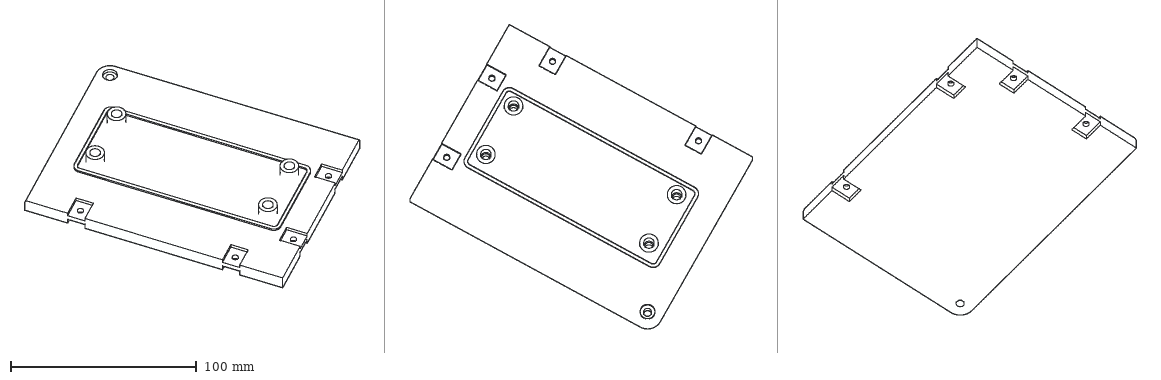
import cadquery as cq

PLATE_LENGTH = 150.0
PLATE_WIDTH = 110.0
PLATE_THICKNESS = 8.0
CORNER_RADIUS = 8.0
EDGE_ROUND = 2.0

SCREW_DIAMETER = 4.4
SCREW_HEAD_DIAMETER = 8.0
SCREW_HEAD_DEPTH = 2.0

TAB_WIDTH = 10.0
TAB_DEPTH = 12.0
TAB_TOP_RECESS = 2.0
TAB_BOTTOM_RECESS = 3.0
TAB_HOLE_DIAMETER = 3.3
FRONT_TAB_X = (30.0, 120.0)
SIDE_TAB_Y = (30.0, 80.0)

RIM_LENGTH = 120.0
RIM_WIDTH = 50.0
RIM_WALL = 2.0
RIM_HEIGHT = 1.0
RIM_RADIUS = 4.0

STANDOFF_DIAMETER = 10.0
STANDOFF_TOP = 16.0
STANDOFF_SPACING_X = 100.5
STANDOFF_SPACING_Y = 30.6
STANDOFF_FILLET = 1.0
INSERT_DIAMETER = 5.7
INSERT_DEPTH = STANDOFF_TOP - PLATE_THICKNESS
PILOT_DIAMETER = 4.4
PILOT_FLOOR = 2.0

CENTRE_X = PLATE_LENGTH / 2
CENTRE_Y = PLATE_WIDTH / 2


def cylinder(x, y, bottom, top, diameter):
    """Vertical cylinder between two heights."""
    return cq.Workplane("XY", origin=(x, y, bottom)).circle(diameter / 2).extrude(top - bottom)


def make_plate():
    """Plate with one rounded corner and rounded top edges on the two sides meeting there."""
    plate = cq.Workplane("XY").box(PLATE_LENGTH, PLATE_WIDTH, PLATE_THICKNESS, centered=False)
    plate = plate.edges("|Z and <X and >Y").fillet(CORNER_RADIUS)
    return plate.faces(">Z").edges("<X").fillet(EDGE_ROUND)


def cut_corner_screw(body):
    """Cut the counterbored hole through the rounded corner."""
    x = CORNER_RADIUS
    y = PLATE_WIDTH - CORNER_RADIUS
    body = body.cut(cylinder(x, y, 0, PLATE_THICKNESS, SCREW_DIAMETER))
    head_floor = PLATE_THICKNESS - SCREW_HEAD_DEPTH
    return body.cut(cylinder(x, y, head_floor, PLATE_THICKNESS, SCREW_HEAD_DIAMETER))


def cut_tab(body, x, y, size_x, size_y):
    """Recess both faces around (x, y) and drill the tab that remains."""
    underside = cq.Workplane("XY", origin=(x, y, 0)).rect(size_x, size_y)
    top_face = cq.Workplane("XY", origin=(x, y, PLATE_THICKNESS)).rect(size_x, size_y)
    bottom_recess = underside.extrude(TAB_BOTTOM_RECESS)
    top_recess = top_face.extrude(-TAB_TOP_RECESS)
    hole = cylinder(x, y, 0, PLATE_THICKNESS, TAB_HOLE_DIAMETER)
    return body.cut(top_recess).cut(bottom_recess).cut(hole)


def make_rim():
    """Low rectangular frame with rounded corners."""
    base = cq.Workplane("XY", origin=(CENTRE_X, CENTRE_Y, PLATE_THICKNESS))
    outer = base.rect(RIM_LENGTH, RIM_WIDTH).extrude(RIM_HEIGHT)
    outer = outer.edges("|Z").fillet(RIM_RADIUS)
    inner = base.rect(RIM_LENGTH - 2 * RIM_WALL, RIM_WIDTH - 2 * RIM_WALL).extrude(RIM_HEIGHT)
    inner = inner.edges("|Z").fillet(RIM_RADIUS - RIM_WALL)
    return outer.cut(inner)


def make_standoff():
    """Standoff on the Z axis, flared by a fillet where it meets the plate."""
    radius = STANDOFF_DIAMETER / 2
    flare_top = PLATE_THICKNESS + STANDOFF_FILLET
    profile = (
        cq.Workplane("XZ")
        .moveTo(0, PLATE_THICKNESS)
        .lineTo(radius + STANDOFF_FILLET, PLATE_THICKNESS)
        .radiusArc((radius, flare_top), STANDOFF_FILLET)
        .lineTo(radius, STANDOFF_TOP)
        .lineTo(0, STANDOFF_TOP)
        .close()
    )
    return profile.revolve(360, (0, 0, 0), (0, 1, 0))


def add_standoff(body, x, y):
    """Join a standoff and cut its stepped blind hole."""
    insert_floor = STANDOFF_TOP - INSERT_DEPTH
    body = body.union(make_standoff().translate((x, y, 0)))
    body = body.cut(cylinder(x, y, insert_floor, STANDOFF_TOP, INSERT_DIAMETER))
    return body.cut(cylinder(x, y, PILOT_FLOOR, insert_floor, PILOT_DIAMETER))


result = cut_corner_screw(make_plate())

for tab_x in FRONT_TAB_X:
    result = cut_tab(result, tab_x, TAB_DEPTH / 2, TAB_WIDTH, TAB_DEPTH)
for tab_y in SIDE_TAB_Y:
    result = cut_tab(result, PLATE_LENGTH - TAB_DEPTH / 2, tab_y, TAB_DEPTH, TAB_WIDTH)

result = result.union(make_rim())

for side_x in (-1, 1):
    for side_y in (-1, 1):
        standoff_x = CENTRE_X + side_x * STANDOFF_SPACING_X / 2
        standoff_y = CENTRE_Y + side_y * STANDOFF_SPACING_Y / 2
        result = add_standoff(result, standoff_x, standoff_y)